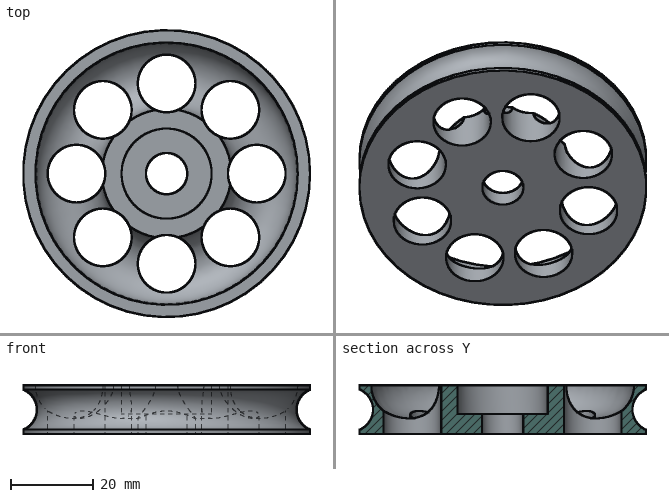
import cadquery as cq

outer_diameter = 70.0
width = 12.0

flange_thickness = 1.1
groove_depth = 3.3

hub_diameter = 31.5
rim_inner_diameter = 64.0
bearing_seat_diameter = 22.0
bearing_seat_depth = 7.0
bore_diameter = 10.0

hole_count = 8
hole_diameter = 14.0
hole_circle_radius = 22.0

outer_radius = outer_diameter / 2
hub_radius = hub_diameter / 2
rim_inner_radius = rim_inner_diameter / 2
recess_radius = (rim_inner_radius - hub_radius) / 2
recess_center_radius = (rim_inner_radius + hub_radius) / 2


def make_wheel():
    """Revolve the half section: X is the radius, local Y is the Z axis."""
    section = (
        cq.Workplane("XZ")
        .lineTo(outer_radius, 0)
        .lineTo(outer_radius, flange_thickness)
        .threePointArc(
            (outer_radius - groove_depth, width / 2),
            (outer_radius, width - flange_thickness),
        )
        .lineTo(outer_radius, width)
        .lineTo(rim_inner_radius, width)
        .threePointArc(
            (recess_center_radius, width - recess_radius),
            (hub_radius, width),
        )
        .lineTo(0, width)
        .close()
    )
    return section.revolve(360, (0, 0, 0), (0, 1, 0))


def cut_bearing_seat(wheel):
    """Bore the hub through and counterbore it from the top for the bearing."""
    return (
        wheel.faces(">Z")
        .workplane(origin=(0, 0, width))
        .cboreHole(bore_diameter, bearing_seat_diameter, bearing_seat_depth)
    )


def cut_lightening_holes(wheel):
    """Drill the ring of through holes, which also scallop the hub's edge."""
    holes = (
        cq.Workplane("XY")
        .polarArray(hole_circle_radius, 0, 360, hole_count)
        .circle(hole_diameter / 2)
        .extrude(width)
    )
    return wheel.cut(holes)


wheel = cut_lightening_holes(cut_bearing_seat(make_wheel()))
result = wheel.translate((0, 0, -width / 2))